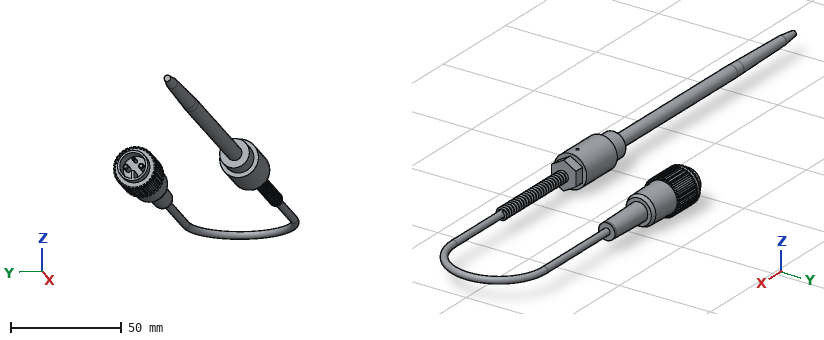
import cadquery as cq
import math


OVERLAP = 0.3

TIP_END_D = 3
TIP_BASE_D = 5.0
TAPER_END_D = 6.5
SHAFT_D = 7.0
TIP_LENGTH = 9.5
TAPER_END_X = 44.7
BAND_LENGTH = 5.5

COLLAR_D = 13.8
COLLAR_START_X = 144.8
BARREL_D = 18
BARREL_START_X = 154.5
BARREL_END_X = 179.2
NUT_FLATS = 13.5
NUT_END_X = 184.5
SCREW_HOLE_D = 1.5
SCREW_HOLE_X = 173.5
SCREW_HOLE_DEPTH = 2.5

COIL_WIRE_D = 1.0
COIL_OUTER_D = 6.3
COIL_PITCH = 2 * COIL_WIRE_D
COIL_END_X = 236.0

CABLE_D = 3.5
TOTAL_LENGTH = 299.7
CONNECTOR_Y = 50.0
BEND_R = CONNECTOR_Y / 2
BEND_X = TOTAL_LENGTH - BEND_R - CABLE_D / 2

PLUG_D = 14.0
PLUG_START_X = 157.5
SOCKET_D = 12
SOCKET_DEPTH = 7.5
KEY_WIDTH = 1.2
KEY_HEIGHT = 3.5
BODY_FRONT_D = 17.0
BODY_REAR_D = 16.2
BODY_END_X = 195.5
SHOULDER_D = 14.0
BOOT_START_X = 197.5
BOOT_FRONT_D = 10.2
BOOT_REAR_D = 9
BOOT_TAPER_END_X = 221.8
BOOT_END_X = 223.0

RING_D = 19.8
RING_START_X = 162.0
RING_END_X = 179.0
RING_GROOVE_D = 19.2
RING_GROOVE_START_X = 162.5
RING_GROOVE_END_X = 164.5
KNURL_COUNT = 32
KNURL_ROOT_D = 18

SIDE_PIN_D = 2.45
TOP_PIN_D = 1.5
PIN_CHAMFER = 0.45
PIN_CIRCLE_R = 3.5
PIN_LENGTH = 6


def revolve_about_x(profile, y=0):
    """Turn (x, radius) points, closed along the axis, about the line parallel to X at the given Y."""
    points = [(profile[0][0], 0), *profile, (profile[-1][0], 0)]
    solid = cq.Workplane("XY").polyline(points).close().revolve(360, (0, 0, 0), (1, 0, 0))
    return solid.translate((0, y, 0))


def rod(start_x, end_x, diameter, y=0, z=0):
    """Round rod along X."""
    return cq.Workplane("YZ", origin=(start_x, y, z)).circle(diameter / 2).extrude(end_x - start_x)


def make_probe():
    """Tip cone, slow taper, short band widening to the shaft, and the shaft up to the handle."""
    return revolve_about_x([
        (0, TIP_END_D / 2),
        (TIP_LENGTH, TIP_BASE_D / 2),
        (TAPER_END_X, TAPER_END_D / 2),
        (TAPER_END_X + BAND_LENGTH, SHAFT_D / 2),
        (COLLAR_START_X, SHAFT_D / 2),
    ])


def make_handle():
    nut_corners_d = NUT_FLATS / math.cos(math.pi / 6)
    nut = (
        cq.Workplane("YZ", origin=(BARREL_END_X, 0, 0))
        .transformed(rotate=(0, 0, 90))
        .polygon(6, nut_corners_d)
        .extrude(NUT_END_X - BARREL_END_X)
    )
    collar = rod(COLLAR_START_X, BARREL_START_X, COLLAR_D)
    barrel = rod(BARREL_START_X, BARREL_END_X, BARREL_D)
    screw_hole = (
        cq.Workplane("XY", origin=(SCREW_HOLE_X, 0, BARREL_D / 2 - SCREW_HOLE_DEPTH))
        .circle(SCREW_HOLE_D / 2)
        .extrude(SCREW_HOLE_DEPTH + OVERLAP)
    )
    return collar.union(barrel).union(nut).cut(screw_hole)


def make_coil():
    """Round wire wound around the cable from the nut face to the coil end."""
    wire_r = COIL_WIRE_D / 2
    winding_r = COIL_OUTER_D / 2 - wire_r
    winding_length = COIL_END_X - NUT_END_X - COIL_WIRE_D
    start_x = NUT_END_X + wire_r
    path = cq.Wire.makeHelix(COIL_PITCH, winding_length, winding_r)
    coil = (
        cq.Workplane("XZ", origin=(winding_r, 0, 0))
        .circle(wire_r)
        .sweep(cq.Workplane(path), isFrenet=True)
    )
    return coil.rotate((0, 0, 0), (0, 1, 0), 90).translate((start_x, 0, 0))


def make_cable():
    path = (
        cq.Workplane("XY")
        .moveTo(NUT_END_X, 0)
        .lineTo(BEND_X, 0)
        .threePointArc((BEND_X + BEND_R, BEND_R), (BEND_X, CONNECTOR_Y))
        .lineTo(BOOT_END_X, CONNECTOR_Y)
    )
    return cq.Workplane("YZ", origin=(NUT_END_X, 0, 0)).circle(CABLE_D / 2).sweep(path)


def make_connector():
    """Plug, body and tapered boot in one piece, with a key along the bottom of the socket."""
    connector = revolve_about_x([
        (PLUG_START_X, PLUG_D / 2),
        (RING_END_X, PLUG_D / 2),
        (RING_END_X, BODY_FRONT_D / 2),
        (BODY_END_X, BODY_REAR_D / 2),
        (BOOT_START_X, SHOULDER_D / 2),
        (BOOT_START_X, BOOT_FRONT_D / 2),
        (BOOT_TAPER_END_X, BOOT_REAR_D / 2),
        (BOOT_END_X, BOOT_REAR_D / 2),
    ], CONNECTOR_Y)
    socket = rod(PLUG_START_X - OVERLAP, PLUG_START_X + SOCKET_DEPTH, SOCKET_D, CONNECTOR_Y)
    floor_x = PLUG_START_X + SOCKET_DEPTH
    key = (
        cq.Workplane("XY")
        .box(SOCKET_DEPTH, KEY_WIDTH, KEY_HEIGHT + OVERLAP, centered=(False, True, False))
        .translate((floor_x - SOCKET_DEPTH, CONNECTOR_Y, -SOCKET_D / 2 - OVERLAP))
    )
    return connector.cut(socket).union(key)


def make_knurl(start_x, end_x):
    """Straight-knurled disc whose teeth and gaps span equal angles."""
    half_tooth = math.pi / KNURL_COUNT / 2
    tip_r = RING_D / 2
    root_r = KNURL_ROOT_D / 2
    outline = []
    for i in range(KNURL_COUNT):
        middle = 2 * math.pi * i / KNURL_COUNT
        for radius, angle in (
            (root_r, middle - half_tooth),
            (tip_r, middle - half_tooth),
            (tip_r, middle + half_tooth),
            (root_r, middle + half_tooth),
        ):
            outline.append((radius * math.cos(angle), radius * math.sin(angle)))
    return (
        cq.Workplane("YZ", origin=(start_x, CONNECTOR_Y, 0))
        .polyline(outline)
        .close()
        .extrude(end_x - start_x)
    )


def make_ring():
    """Coupling ring around the plug: knurled front rim, smooth band, knurled grip."""
    rim = make_knurl(RING_START_X, RING_GROOVE_START_X)
    band = rod(RING_GROOVE_START_X, RING_GROOVE_END_X, RING_GROOVE_D, CONNECTOR_Y)
    grip = make_knurl(RING_GROOVE_END_X, RING_END_X)
    bore = rod(RING_START_X, RING_END_X, PLUG_D, CONNECTOR_Y)
    return rim.union(band).union(grip).cut(bore)


def make_pin(angle, diameter):
    """Contact pin standing on the socket floor, at an angle measured from +Y towards +Z."""
    floor_x = PLUG_START_X + SOCKET_DEPTH
    y = CONNECTOR_Y + PIN_CIRCLE_R * math.cos(math.radians(angle))
    z = PIN_CIRCLE_R * math.sin(math.radians(angle))
    pin = rod(floor_x - PIN_LENGTH, floor_x, diameter, y, z)
    return pin.faces("<X").chamfer(PIN_CHAMFER)


probe = make_probe()
handle = make_handle()
coil = make_coil()
cable = make_cable()
connector = make_connector()
ring = make_ring()
pin_layout = ((0, SIDE_PIN_D), (90, TOP_PIN_D), (180, SIDE_PIN_D))
pins = [make_pin(angle, diameter) for angle, diameter in pin_layout]

result = cq.Compound.makeCompound([
    probe.val(),
    handle.val(),
    coil.val(),
    cable.val(),
    connector.val(),
    ring.val(),
    *[pin.val() for pin in pins],
])